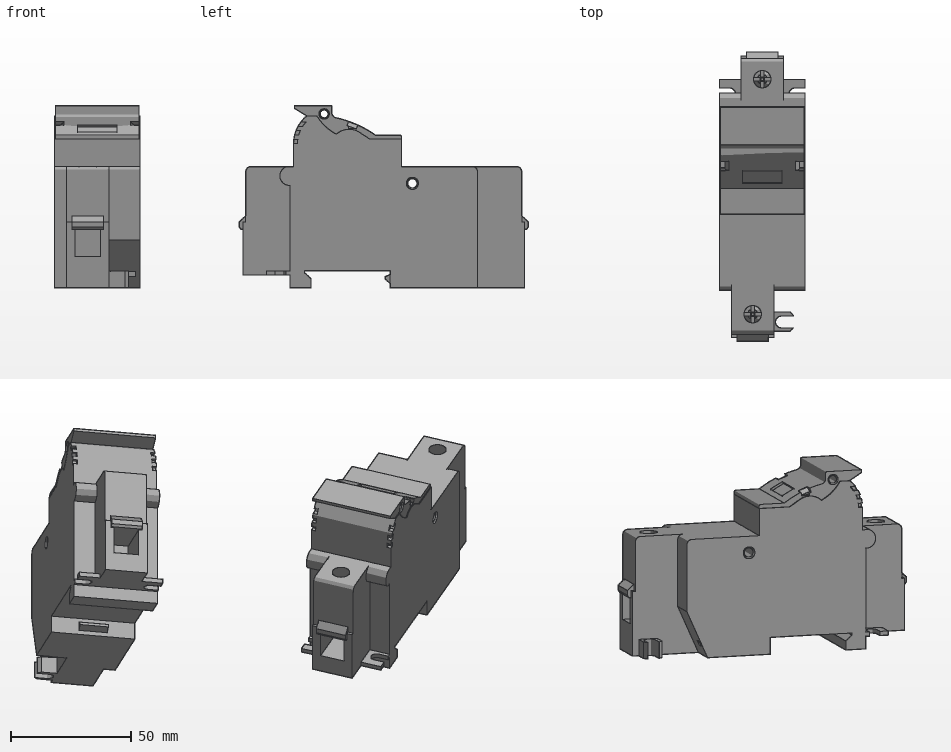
import cadquery as cq
import math

width = 35.6
half_width = width / 2
body_half_length = 39.0
shoulder_height = 50.5
shoulder_fillet = 2.2
rail_height = 7.1
overcut = 1.2

tower_width = width / 2
tower_upper_end = 57.4
tower_lower_end = 58.6
tower_step_height = 27.3
front_tower_x = -4.0
rear_tower_x = 0.0
rear_tower_bottom = 5.3
hook_width = 13.1
hook_tip = 60.2
hook_top = 30.0
hook_tip_top = 27.5
hook_tip_bottom = 25.4
hook_bottom_y = 59.5
wire_window_width = 10.5
wire_window_bottom = 13.1
wire_window_top = 24.3
wire_window_depth = 19.3

block_front = -7.5
block_rear = 37.6
rear_arc_start_height = 60.0
rear_arc_radius = 14.9
grip_notch_count = 3
grip_notch_height = 1.8
grip_notch_depth = 1.7
grip_notch_width = 1.8

seam_rear_height = 71.5
seam_front_height = 61.9
seam_knee_y = 27.8
seam_bulge = (23.4, 66.3)
seam_valley = (19.7, 63.9)
seam_crown = (14.3, 66.0)
seam_crown_end = (10.2, 64.8)
seam_ramp_end_y = 5.8

lid_width = 34.9
lid_top = 75.9
lid_rear = 37.2
lid_lip_bottom = 74.6
lid_plate_front = 21.5
lid_fillet_top = 72.6
lid_fillet_middle = (21.1, 71.5)
lid_slope_start = (19.9, 70.8)
lid_slope_middle = (10.8, 67.8)
lid_slope_end_y = 3.5
lid_front_top = 63.6
lid_front_fillet = 0.8
lid_plate_fillet = 0.5
lid_hole_place = (24.8, 72.4)
lid_hole_diameter = 3.3
lid_hole_mouth = 4.3

label_width = 16.4
label_length = 6.0
label_depth = 1.0
label_place = (8.1, 66.3)
label_tilt = 30.0
notch_mouth_depth = 3.6
notch_floor_depth = 1.9
notch_height = 1.7
notch_length = 4.1
notch_place = (12.8, 68.4)
notch_tilt = 20.0
notch_well_rear = 14.6
notch_well_front = 10.7
notch_well_floor = 66.2
notch_well_chamfer = 1.5

rivet_place = (-11.9, 43.5)
rivet_diameter = 3.9
rivet_mouth = 5.0

bead_radius = 4.0
bead_center = (39.3, 46.6)
ear_end = 48.8
ear_bottom = rear_tower_bottom
ear_slot_y = 42.9
ear_slot_width = 4.6
ear_slot_end_x = 11.2
fork_x = 13.0
fork_rear = -47.9
fork_front = -56.0
fork_height = 7.0
fork_chamfer = 1.5
fork_slot_y = -52.1
fork_slot_width = 4.8
fork_slot_end_x = 5.5

undercut_height = 20.0
undercut_run = 9.0
pocket_x = (13.0, 15.9)
pocket_z = (4.7, 6.7)
pocket_depth = 1.2

rail_slot_rear = 32.9
rail_slot_front = -2.6
foot_lip_height = 6.3
foot_nose_height = 3.9
foot_nose_y = 30.2
latch_width = 12.0
latch_length = 9.6
latch_bottom = 1.8
latch_top = 5.5
latch_tip_y = -0.6
latch_tip_bottom = 3.6
latch_tip_top = 4.7

screw_diameter = 7.2
screw_y = 48.9
screw_head_drop = 9.6
screw_length = 9.6
screw_dome_radius = 6.0
screw_slot_width = 1.5
screw_slot_depth = 1.5
screw_socket_width = 2.9
screw_socket_depth = 2.6
screw_socket_taper = 20.0
screw_star_length = 4.1
screw_star_width = 0.8


def box_between(x_range, y_range, z_range):
    (x0, x1), (y0, y1), (z0, z1) = x_range, y_range, z_range
    return cq.Workplane("XY").box(x1 - x0, y1 - y0, z1 - z0, centered=False).translate((x0, y0, z0))


def spread_across(outline, across, center_x=0.0):
    """Extrude a closed YZ outline symmetrically about center_x."""
    return outline.extrude(across / 2, both=True).translate((center_x, 0, 0))


def countersunk_hole(place, diameter, mouth, across):
    """Hole in X through a body of a given width, with a 45 degree countersink on both sides."""
    sink = (mouth - diameter) / 2
    hole = spread_across(cq.Workplane("YZ").center(*place).circle(diameter / 2), across)
    for side in (-1, 1):
        cone = cq.Solid.makeCone(
            mouth / 2, diameter / 2, sink, cq.Vector(side * across / 2, *place), cq.Vector(-side, 0, 0)
        )
        hole = hole.union(cq.Workplane(cone))
    return hole


def seam(outline):
    """Continue an outline from the rear end of the seam to its front end."""
    return (
        outline.lineTo(seam_knee_y, seam_rear_height)
        .threePointArc(seam_bulge, seam_valley)
        .threePointArc(seam_crown, seam_crown_end)
        .lineTo(seam_ramp_end_y, seam_front_height)
        .lineTo(block_front, seam_front_height)
    )


def rear_arc_y(height):
    """Y of the rounded rear of the block at a height."""
    rise = height - rear_arc_start_height
    return block_rear - rear_arc_radius + math.sqrt(rear_arc_radius**2 - rise**2)


def main_body():
    base = spread_across(
        cq.Workplane("YZ")
        .moveTo(-body_half_length, 0)
        .lineTo(-body_half_length, shoulder_height)
        .lineTo(body_half_length, shoulder_height)
        .lineTo(body_half_length, 0)
        .lineTo(foot_nose_y, 0)
        .lineTo(foot_nose_y, foot_nose_height)
        .lineTo(rail_slot_rear, foot_lip_height)
        .lineTo(rail_slot_rear, rail_height)
        .lineTo(rail_slot_front, rail_height)
        .lineTo(rail_slot_front, 0)
        .close(),
        width,
    )
    base = base.edges("|X and >Z and <Y").fillet(shoulder_fillet)
    bead = spread_across(cq.Workplane("YZ").center(*bead_center).circle(bead_radius), width)
    below_shoulder = box_between(
        (-half_width, half_width), (0, bead_center[0] + bead_radius), (0, shoulder_height)
    )
    return base.union(bead.intersect(below_shoulder))


def raised_block():
    arc_middle_height = (rear_arc_start_height + seam_rear_height) / 2
    outline = (
        cq.Workplane("YZ")
        .moveTo(block_front, shoulder_height - overcut)
        .lineTo(block_rear, shoulder_height - overcut)
        .lineTo(block_rear, rear_arc_start_height)
        .threePointArc(
            (rear_arc_y(arc_middle_height), arc_middle_height),
            (rear_arc_y(seam_rear_height), seam_rear_height),
        )
    )
    return spread_across(seam(outline).close(), width)


def grip_notches():
    """Notches in the rounded rear, cut into both sides of the block."""
    inner_radius = rear_arc_radius - grip_notch_depth
    ring = (
        cq.Workplane("YZ")
        .center(block_rear - rear_arc_radius, rear_arc_start_height)
        .circle(rear_arc_radius + overcut)
        .circle(inner_radius)
        .extrude(half_width + overcut, both=True)
    )
    notches = []
    for index in range(grip_notch_count):
        height = rear_arc_start_height + 2 * index * grip_notch_height
        for side in (-1, 1):
            x_range = sorted((side * (half_width - grip_notch_width), side * (half_width + overcut)))
            y_range = (block_rear - rear_arc_radius, block_rear + overcut)
            slab = box_between(x_range, y_range, (height, height + grip_notch_height))
            notches.append(ring.intersect(slab))
    return notches


def tower(side, center_x, bottom):
    """Terminal tower with its hook and wire window; side is -1 at the front and 1 at the rear."""
    body = spread_across(
        cq.Workplane("YZ").polyline(
            [
                (0, bottom),
                (side * tower_lower_end, bottom),
                (side * tower_lower_end, tower_step_height),
                (side * tower_upper_end, tower_step_height),
                (side * tower_upper_end, shoulder_height),
                (0, shoulder_height),
            ]
        ).close(),
        tower_width,
        center_x,
    )
    keep_y = sorted((side * (body_half_length - 2 * shoulder_fillet), side * hook_tip))
    body = body.intersect(
        box_between((center_x - half_width, center_x + half_width), keep_y, (0, shoulder_height))
    )
    body = body.edges("|X and >Z").edges(">Y" if side > 0 else "<Y").fillet(shoulder_fillet)
    hook = spread_across(
        cq.Workplane("YZ").polyline(
            [
                (side * (tower_upper_end - overcut), wire_window_top),
                (side * hook_bottom_y, wire_window_top),
                (side * hook_tip, hook_tip_bottom),
                (side * hook_tip, hook_tip_top),
                (side * tower_upper_end, hook_top),
                (side * (tower_upper_end - overcut), hook_top),
            ]
        ).close(),
        hook_width,
        center_x,
    )
    window_y = sorted((side * (tower_lower_end - wire_window_depth), side * (tower_lower_end + overcut)))
    window = box_between(
        (center_x - wire_window_width / 2, center_x + wire_window_width / 2),
        window_y,
        (wire_window_bottom, wire_window_top),
    )
    return body.union(hook).cut(window)


def ears():
    """Plate behind the main body, with a round-ended slot open to each side."""
    plate = box_between((-half_width, half_width), (body_half_length, ear_end), (ear_bottom, rail_height))
    slot_length = 2 * (half_width - ear_slot_end_x)
    for side in (-1, 1):
        slot = (
            cq.Workplane("XY", origin=(side * half_width, ear_slot_y, ear_bottom))
            .slot2D(slot_length, ear_slot_width)
            .extrude(rail_height - ear_bottom)
        )
        plate = plate.cut(slot)
    return plate


def fork():
    """Fork on the side of the front tower, open towards +X."""
    tower_side = front_tower_x + tower_width / 2
    block = box_between((tower_side, fork_x), (fork_front, fork_rear), (0, fork_height))
    block = block.edges("|Z and >X").chamfer(fork_chamfer)
    slot = (
        cq.Workplane("XY", origin=(fork_x, fork_slot_y, 0))
        .slot2D(2 * (fork_x - fork_slot_end_x), fork_slot_width)
        .extrude(fork_height)
    )
    return block.cut(slot)


def undercut():
    tower_side = front_tower_x + tower_width / 2
    return (
        cq.Workplane("YZ", origin=(tower_side, 0, 0))
        .polyline(
            [
                (-body_half_length, undercut_height),
                (-body_half_length + undercut_run, 0),
                (-body_half_length, 0),
            ]
        )
        .close()
        .extrude(half_width - tower_side)
    )


def undercut_pocket():
    slope_y = -body_half_length + undercut_run * (1 - sum(pocket_z) / 2 / undercut_height)
    return box_between(pocket_x, (-body_half_length, slope_y + pocket_depth), pocket_z)


def screw_hole(center_x, center_y):
    return (
        cq.Workplane("XY", origin=(center_x, center_y, shoulder_height - screw_head_drop - screw_length))
        .circle(screw_diameter / 2)
        .extrude(screw_head_drop + screw_length)
    )


def make_housing(latch_bar):
    body = main_body().union(raised_block())
    body = body.cut(undercut()).cut(undercut_pocket())
    body = body.union(tower(-1, front_tower_x, 0)).union(tower(1, rear_tower_x, rear_tower_bottom))
    body = body.union(ears()).union(fork())
    for notch in grip_notches():
        body = body.cut(notch)
    body = body.cut(countersunk_hole(rivet_place, rivet_diameter, rivet_mouth, width))
    for center_x, center_y in screw_places:
        body = body.cut(screw_hole(center_x, center_y))
    return body.cut(latch_bar)


def label_recess():
    return (
        cq.Workplane("XY")
        .box(label_width, label_length, 2 * label_depth)
        .rotate((0, 0, 0), (1, 0, 0), label_tilt)
        .translate((0, *label_place))
    )


def finger_notch(side):
    """Notch in the lid's side edge, with a sloping inner wall."""
    lid_side = lid_width / 2
    return (
        cq.Workplane("XZ")
        .polyline(
            [
                (side * (lid_side + overcut), overcut),
                (side * (lid_side - notch_mouth_depth), overcut),
                (side * (lid_side - notch_mouth_depth), 0),
                (side * (lid_side - notch_floor_depth), -notch_height),
                (side * (lid_side + overcut), -notch_height),
            ]
        )
        .close()
        .extrude(notch_length / 2, both=True)
        .rotate((0, 0, 0), (1, 0, 0), notch_tilt)
        .translate((0, *notch_place))
    )


def finger_notch_well(side):
    """Upright pocket through the floor of a finger notch, with a sloping front wall."""
    well = box_between(
        sorted((side * (lid_width / 2 - notch_floor_depth), side * lid_width / 2)),
        (notch_well_front, notch_well_rear),
        (notch_well_floor, lid_slope_start[1]),
    )
    return well.edges("|X and <Y and <Z").chamfer(notch_well_chamfer)


def make_lid():
    outline = (
        cq.Workplane("YZ")
        .moveTo(lid_plate_front, lid_top)
        .lineTo(lid_rear, lid_top)
        .lineTo(lid_rear, lid_lip_bottom)
        .lineTo(rear_arc_y(seam_rear_height), seam_rear_height)
    )
    outline = (
        seam(outline)
        .lineTo(block_front, lid_front_top)
        .lineTo(lid_slope_end_y, lid_front_top)
        .threePointArc(lid_slope_middle, lid_slope_start)
        .threePointArc(lid_fillet_middle, (lid_plate_front, lid_fillet_top))
        .close()
    )
    lid = spread_across(outline, lid_width)
    front_corner = cq.selectors.NearestToPointSelector((0, block_front, lid_front_top))
    lid = lid.edges(front_corner).fillet(lid_front_fillet)
    lid = lid.edges("|X and >Z").edges("<Y").fillet(lid_plate_fillet)
    lid = lid.cut(label_recess())
    for side in (-1, 1):
        lid = lid.cut(finger_notch(side)).cut(finger_notch_well(side))
    return lid.cut(countersunk_hole(lid_hole_place, lid_hole_diameter, lid_hole_mouth, lid_width))


def make_latch():
    """Bar in the housing whose nose reaches under the rail."""
    bar_end = rail_slot_front - latch_length
    return spread_across(
        cq.Workplane("YZ").polyline(
            [
                (bar_end, latch_bottom),
                (rail_slot_front, latch_bottom),
                (latch_tip_y, latch_tip_bottom),
                (latch_tip_y, latch_tip_top),
                (rail_slot_front, latch_top),
                (bar_end, latch_top),
            ]
        ).close(),
        latch_width,
    )


def cross(length, arm_width):
    """Cross of two equal bars, sunk into the top of a screw."""
    bars = cq.Workplane("XY").rect(length, arm_width).extrude(-screw_slot_depth)
    return bars.union(bars.rotate((0, 0, 0), (0, 0, 1), 90))


def make_screw(center_x, center_y):
    """Screw with a domed head and a cross recess, at the bottom of its hole."""
    screw = cq.Workplane("XY").circle(screw_diameter / 2).extrude(-screw_length)
    dome = cq.Workplane("XY").sphere(screw_dome_radius).translate((0, 0, -screw_dome_radius))
    shank = screw.translate((0, 0, -screw_dome_radius))
    screw = screw.intersect(dome.union(shank))
    screw = screw.cut(cross(screw_diameter, screw_slot_width))
    star = cross(screw_star_length, screw_star_width).rotate((0, 0, 0), (0, 0, 1), 45)
    screw = screw.cut(star)
    socket = cq.Workplane("XY").rect(screw_socket_width, screw_socket_width)
    screw = screw.cut(socket.extrude(-screw_socket_depth, taper=screw_socket_taper))
    return screw.translate((center_x, center_y, shoulder_height - screw_head_drop))


screw_places = ((front_tower_x, -screw_y), (rear_tower_x, screw_y))
latch = make_latch()
housing = make_housing(latch)
lid = make_lid()
screws = [make_screw(center_x, center_y).val() for center_x, center_y in screw_places]

result = cq.Compound.makeCompound([housing.val(), lid.val(), latch.val(), *screws])